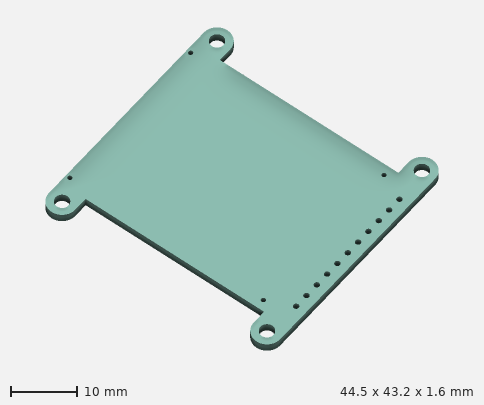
import cadquery as cq

length = 44.45
thickness = 1.6
pin_pitch = length / 17.5
width = 17 * pin_pitch

ear_radius = pin_pitch
ear_width = 2 * ear_radius
ear_reach = 2 * pin_pitch
body_width = width - 2 * ear_reach
ear_x = length / 2 - ear_radius
ear_y = width / 2 - ear_radius
mounting_hole_diameter = 2.5

pin_count = 11
pin_x = 8 * pin_pitch
pin_hole_diameter = 1.0

locating_hole_diameter = 0.8
locating_left_x = -21.45
locating_right_x = 15.7
locating_y = 14.85


def make_ear(side_x, side_y):
    """Ear running from the body edge out to its rounded end."""
    straight_length = ear_reach - ear_radius
    straight = (
        cq.Workplane("XY")
        .center(side_x * ear_x, side_y * (body_width + straight_length) / 2)
        .rect(ear_width, straight_length)
        .extrude(thickness)
    )
    rounded_end = (
        cq.Workplane("XY")
        .center(side_x * ear_x, side_y * ear_y)
        .circle(ear_radius)
        .extrude(thickness)
    )
    return straight.union(rounded_end)


def make_holes(points, diameter):
    """Cutters for through holes at the given points."""
    return cq.Workplane("XY").pushPoints(points).circle(diameter / 2).extrude(thickness)


mounting_points = [(x, y) for x in (-ear_x, ear_x) for y in (-ear_y, ear_y)]
pin_points = [(pin_x, (i - (pin_count - 1) / 2) * pin_pitch) for i in range(pin_count)]
locating_points = [
    (x, y) for x in (locating_left_x, locating_right_x) for y in (-locating_y, locating_y)
]

board = cq.Workplane("XY").rect(length, body_width).extrude(thickness)
for side_x in (-1, 1):
    for side_y in (-1, 1):
        board = board.union(make_ear(side_x, side_y))
board = board.clean()

board = board.cut(make_holes(mounting_points, mounting_hole_diameter))
board = board.cut(make_holes(pin_points, pin_hole_diameter))
result = board.cut(make_holes(locating_points, locating_hole_diameter))